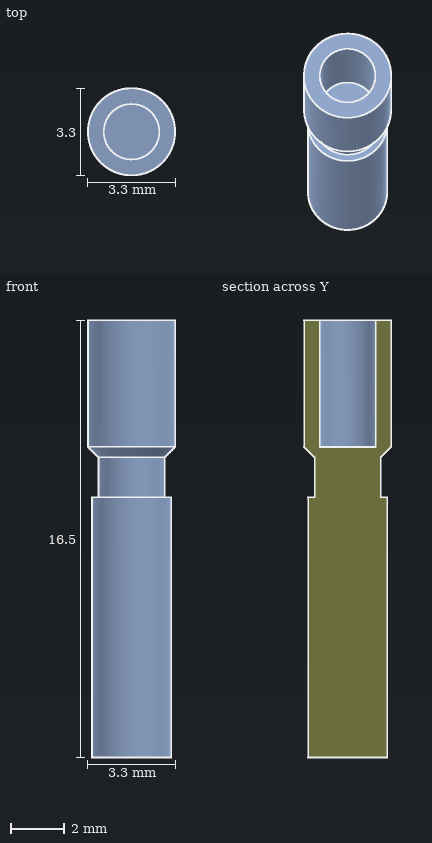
import cadquery as cq

total_length = 16.51
head_diameter = 3.3
neck_diameter = 2.51
body_diameter = 3.0
bore_diameter = 2.1
head_length = 4.79
neck_length = 1.5
bore_depth = head_length

taper_height = (head_diameter - neck_diameter) / 2

head_bottom = total_length - head_length
neck_top = head_bottom - taper_height
body_top = neck_top - neck_length

pin = (
    cq.Workplane("XZ")
    .moveTo(0, 0)
    .lineTo(body_diameter / 2, 0)
    .lineTo(body_diameter / 2, body_top)
    .lineTo(neck_diameter / 2, body_top)
    .lineTo(neck_diameter / 2, neck_top)
    .lineTo(head_diameter / 2, head_bottom)
    .lineTo(head_diameter / 2, total_length)
    .lineTo(0, total_length)
    .close()
    .revolve(360, (0, 0, 0), (0, 1, 0))
)

bore = (
    cq.Workplane("XY")
    .workplane(offset=total_length - bore_depth)
    .circle(bore_diameter / 2)
    .extrude(bore_depth)
)

result = pin.cut(bore)